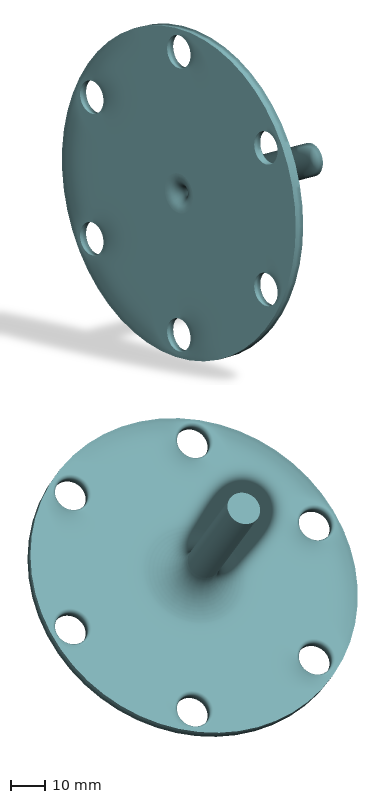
import cadquery as cq
import math

flange_diameter = 100.0
flange_thickness = 3.0
stem_diameter = 10.0
total_length = 53.0
flare_radius = 10.0

bolt_hole_count = 6
bolt_hole_diameter = 10.0
bolt_circle_radius = 43.0
bolt_hole_rounding = 1.0

recess_floor_radius = 1.0
recess_mouth_radius = 6.0

diagonal = math.sqrt(0.5)


def make_body():
    """Revolve the flange, concave flare and stem as one profile."""
    stem_radius = stem_diameter / 2
    flare_outer = stem_radius + flare_radius
    flare_top = flange_thickness + flare_radius
    arc_middle = (
        flare_outer - flare_radius * diagonal,
        flare_top - flare_radius * diagonal,
    )
    profile = (
        cq.Workplane("XY")
        .lineTo(flange_diameter / 2, 0)
        .lineTo(flange_diameter / 2, flange_thickness)
        .lineTo(flare_outer, flange_thickness)
        .threePointArc(arc_middle, (stem_radius, flare_top))
        .lineTo(stem_radius, total_length)
        .lineTo(0, total_length)
        .close()
    )
    return profile.revolve(360, (0, 0, 0), (0, 1, 0))


def make_recess():
    """Revolve a convex quarter arc, tangent to the face, down to a flat floor."""
    recess_depth = recess_mouth_radius - recess_floor_radius
    arc_middle = (
        recess_mouth_radius - recess_depth * diagonal,
        recess_depth - recess_depth * diagonal,
    )
    profile = (
        cq.Workplane("XY")
        .lineTo(recess_mouth_radius, 0)
        .threePointArc(arc_middle, (recess_floor_radius, recess_depth))
        .lineTo(0, recess_depth)
        .close()
    )
    return profile.revolve(360, (0, 0, 0), (0, 1, 0))


def make_bolt_hole():
    """Through-hole cutter on the Y axis, its stem-side mouth rounded outward."""
    hole_radius = bolt_hole_diameter / 2
    mouth_radius = hole_radius + bolt_hole_rounding
    bore_end = flange_thickness - bolt_hole_rounding
    arc_middle = (
        mouth_radius - bolt_hole_rounding * diagonal,
        bore_end + bolt_hole_rounding * diagonal,
    )
    profile = (
        cq.Workplane("XY")
        .lineTo(hole_radius, 0)
        .lineTo(hole_radius, bore_end)
        .threePointArc(arc_middle, (mouth_radius, flange_thickness))
        .lineTo(0, flange_thickness)
        .close()
    )
    return profile.revolve(360, (0, 0, 0), (0, 1, 0))


result = make_body().cut(make_recess())

first_hole = make_bolt_hole().translate((0, 0, bolt_circle_radius))
for index in range(bolt_hole_count):
    angle = index * 360 / bolt_hole_count
    result = result.cut(first_hole.rotate((0, 0, 0), (0, 1, 0), angle))